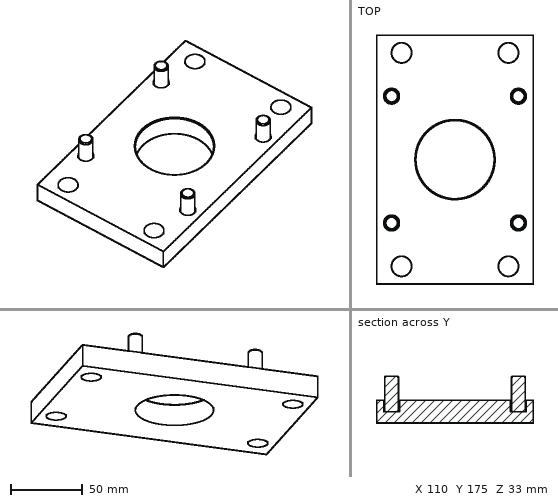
import cadquery as cq

plate_length = 175.0
plate_width = 110.0
plate_thickness = 16.1

bore_diameter = 55.0
bore_chamfer = 0.7

corner_hole_diameter = 14.0
corner_hole_spacing_x = 75.0
corner_hole_spacing_y = 150.0

overall_height = 33.0
pin_diameter = 10.0
pin_chamfer = 0.9
pin_spacing = 89.0
pin_hole_diameter = 11.0
pin_hole_depth = plate_thickness / 2
pin_length = overall_height - plate_thickness + pin_hole_depth

pin_centres = [
    (x_side * pin_spacing / 2, y_side * pin_spacing / 2)
    for x_side in (-1, 1)
    for y_side in (-1, 1)
]


def make_plate():
    """Flat plate with a central bore, four corner holes and four blind pin holes."""
    plate = cq.Workplane("XY").box(
        plate_width, plate_length, plate_thickness, centered=(True, True, False)
    )
    plate = plate.faces(">Z").workplane().hole(bore_diameter)
    plate = plate.faces(">Z").edges("%CIRCLE").chamfer(bore_chamfer)
    plate = (
        plate.faces(">Z")
        .workplane(origin=(0, 0, plate_thickness))
        .rarray(corner_hole_spacing_x, corner_hole_spacing_y, 2, 2)
        .hole(corner_hole_diameter)
    )
    return (
        plate.faces(">Z")
        .workplane(origin=(0, 0, plate_thickness))
        .pushPoints(pin_centres)
        .circle(pin_hole_diameter / 2)
        .cutBlind(-pin_hole_depth)
    )


def make_pin(centre):
    """Plain round pin with a chamfered top, rising from the floor of its hole."""
    hole_floor = cq.Workplane("XY", origin=(0, 0, plate_thickness - pin_hole_depth))
    pin = hole_floor.center(*centre).circle(pin_diameter / 2).extrude(pin_length)
    return pin.faces(">Z").chamfer(pin_chamfer)


plate = make_plate()
pins = [make_pin(centre) for centre in pin_centres]

result = cq.Compound.makeCompound([plate.val(), *[pin.val() for pin in pins]])